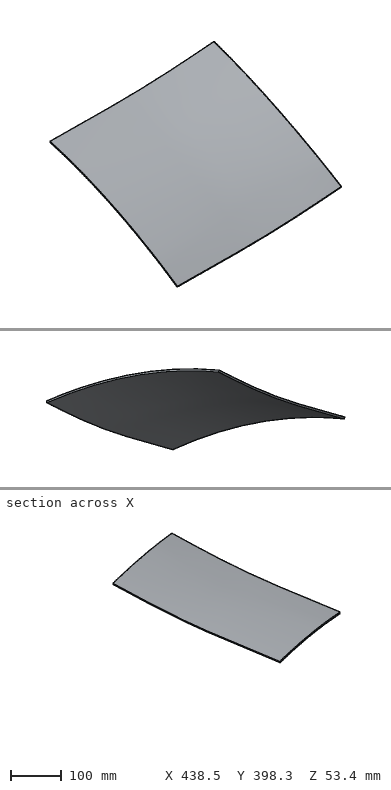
import cadquery as cq
import math

width = 438.5
crown_height = 24.5
thickness = 4.5

front_slope = 0.6
rear_slope = 8.5
bend_y = 228.0
bend_rise = 4.5
rear_rise = 24.5
crown_length_y = 394.0

half_width = width / 2
arch_radius = (half_width**2 + crown_height**2) / (2 * crown_height)
inner_radius = arch_radius - thickness
edge_angle = math.asin(half_width / arch_radius)
front_angle = math.radians(front_slope)
rear_angle = math.radians(rear_slope)


def arch_point(radius, angle):
    """Section point at an angle from the crown; the outer crown is the origin."""
    return radius * math.sin(angle), radius * math.cos(angle) - arch_radius


crown_line = cq.Workplane("YZ").spline(
    [(0, 0), (bend_y, bend_rise), (crown_length_y, rear_rise)],
    tangents=[
        (math.cos(front_angle), math.sin(front_angle)),
        (math.cos(rear_angle), math.sin(rear_angle)),
    ],
)

section_plane = cq.Plane(
    origin=(0, 0, 0),
    xDir=(1, 0, 0),
    normal=(0, -math.cos(front_angle), -math.sin(front_angle)),
)
section = (
    cq.Workplane(section_plane)
    .moveTo(*arch_point(arch_radius, -edge_angle))
    .threePointArc((0, 0), arch_point(arch_radius, edge_angle))
    .lineTo(*arch_point(inner_radius, edge_angle))
    .threePointArc((0, -thickness), arch_point(inner_radius, -edge_angle))
    .close()
)

result = section.sweep(crown_line)